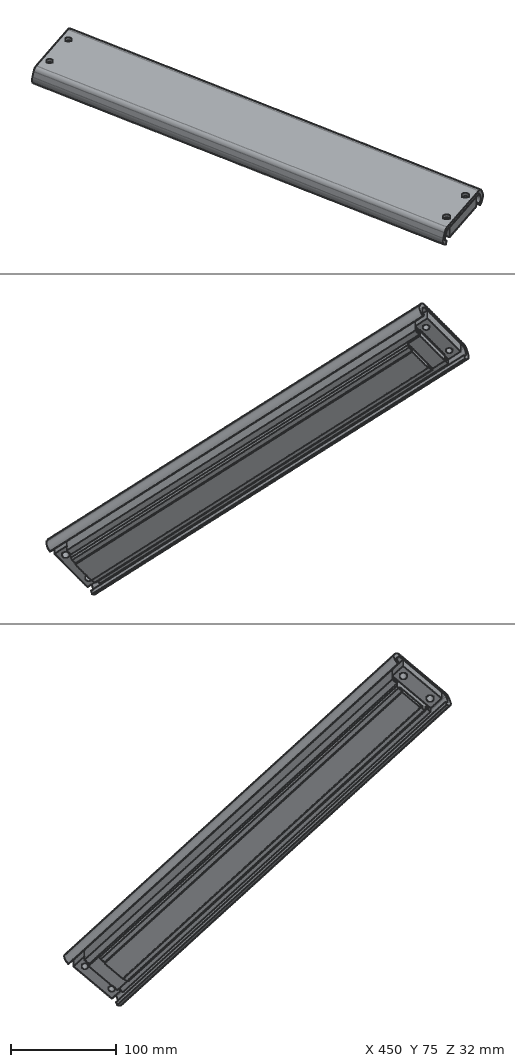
import cadquery as cq
import math

length = 450.0
cover_width = 75.0
sheet = 4.0
curl_radius = 9.0
curl_depth = 12.0
shoulder_radius = 5.5
facet_angle = math.radians(23)
curl_end_angle = math.radians(-68)

hole_inset = 7.5
hole_spread = 35.0
left_hole_diameter = 6.5
right_hole_diameter = 7.0

end_block_length = 15.0
housing_width = 50.5
roof_bottom = 16.5
housing_bottom = 23.5
housing_wall = 2.5
lip_height = 2.2

holder_start = 29.0
holder_width = 38.0
flange_width = 40.0
holder_bottom = 30.0
corner_cut = 2.0
slot_top_width = 30.0

end_piece_start = 14.0
end_piece_bottom = 26.0

strip_width = 24.5
total_height = 32.0

housing_end = length - end_block_length
lip_top = housing_bottom - lip_height


def box_between(start, end, width, top, bottom):
    """Box centred on Y; top and bottom are depths below the cover's top face."""
    return (
        cq.Workplane("XY", origin=((start + end) / 2, 0, -bottom))
        .box(end - start, width, bottom - top, centered=(True, True, False))
    )


def hole_pair(x, diameter, top, bottom):
    """Cutter for the two vertical holes at one end."""
    return (
        cq.Workplane("XY", origin=(x, 0, -bottom))
        .pushPoints([(0, -hole_spread / 2), (0, hole_spread / 2)])
        .circle(diameter / 2)
        .extrude(bottom - top)
    )


def on_circle(center, radius, angle):
    """Point (y, z) at an angle measured up from +Y."""
    return (center[0] + radius * math.cos(angle), center[1] + radius * math.sin(angle))


def make_cover():
    curl_center = (cover_width / 2 - curl_radius, -curl_depth)
    curl_inner = curl_radius - sheet
    axis_rise = curl_depth - shoulder_radius
    radius_change = curl_radius - shoulder_radius
    axis_shift = (radius_change - axis_rise * math.sin(facet_angle)) / math.cos(facet_angle)
    shoulder_center = (curl_center[0] + axis_shift, -shoulder_radius)
    shoulder_inner = shoulder_radius - sheet
    shoulder_middle = (facet_angle + math.pi / 2) / 2

    half = (
        cq.Workplane("YZ")
        .moveTo(0, 0)
        .lineTo(shoulder_center[0], 0)
        .threePointArc(
            on_circle(shoulder_center, shoulder_radius, shoulder_middle),
            on_circle(shoulder_center, shoulder_radius, facet_angle),
        )
        .lineTo(*on_circle(curl_center, curl_radius, facet_angle))
        .threePointArc(
            on_circle(curl_center, curl_radius, 0),
            on_circle(curl_center, curl_radius, curl_end_angle),
        )
        .lineTo(*on_circle(curl_center, curl_inner, curl_end_angle))
        .threePointArc(
            on_circle(curl_center, curl_inner, 0),
            on_circle(curl_center, curl_inner, facet_angle),
        )
        .lineTo(*on_circle(shoulder_center, shoulder_inner, facet_angle))
        .threePointArc(
            on_circle(shoulder_center, shoulder_inner, shoulder_middle),
            (shoulder_center[0], -sheet),
        )
        .lineTo(0, -sheet)
        .close()
        .extrude(length)
    )
    cover = half.union(half.mirror("XZ")).clean()
    cover = cover.cut(hole_pair(hole_inset, left_hole_diameter, 0, sheet))
    return cover.cut(hole_pair(length - hole_inset, right_hole_diameter, 0, sheet))


def make_end_block(start, hole_x, hole_diameter):
    block = box_between(start, start + end_block_length, housing_width, sheet, roof_bottom)
    return block.cut(hole_pair(hole_x, hole_diameter, sheet, roof_bottom))


def make_housing():
    """Inverted channel with a solid roof and inward lips along its lower edges."""
    body = box_between(end_block_length, housing_end, housing_width, sheet, housing_bottom)
    cavity_width = housing_width - 2 * housing_wall
    cavity = box_between(end_block_length, housing_end, cavity_width, roof_bottom, lip_top)
    mouth = box_between(end_block_length, housing_end, holder_width, lip_top, housing_bottom)
    return body.cut(cavity).cut(mouth)


def make_holder():
    """T-shaped bar with chamfered lower edges and a downward tapering slot for the strip."""
    stem = box_between(holder_start, housing_end, holder_width, roof_bottom, holder_bottom)
    stem = stem.edges("|X and <Z").chamfer(corner_cut)
    flange = box_between(holder_start, housing_end, flange_width, roof_bottom, lip_top)
    slot = (
        cq.Workplane("YZ", origin=(holder_start, 0, 0))
        .moveTo(-slot_top_width / 2, -end_piece_bottom)
        .lineTo(slot_top_width / 2, -end_piece_bottom)
        .lineTo(strip_width / 2, -holder_bottom)
        .lineTo(-strip_width / 2, -holder_bottom)
        .close()
        .extrude(housing_end - holder_start)
    )
    return stem.union(flange).cut(slot)


cover = make_cover()
end_blocks = [
    make_end_block(0, hole_inset, left_hole_diameter),
    make_end_block(housing_end, length - hole_inset, right_hole_diameter),
]
housing = make_housing()
end_piece = box_between(end_piece_start, holder_start, holder_width, roof_bottom, end_piece_bottom)
holder = make_holder()
strip = box_between(holder_start, housing_end, strip_width, end_piece_bottom, total_height)

result = cq.Compound.makeCompound(
    [
        cover.val(),
        *[block.val() for block in end_blocks],
        housing.val(),
        end_piece.val(),
        holder.val(),
        strip.val(),
    ]
)